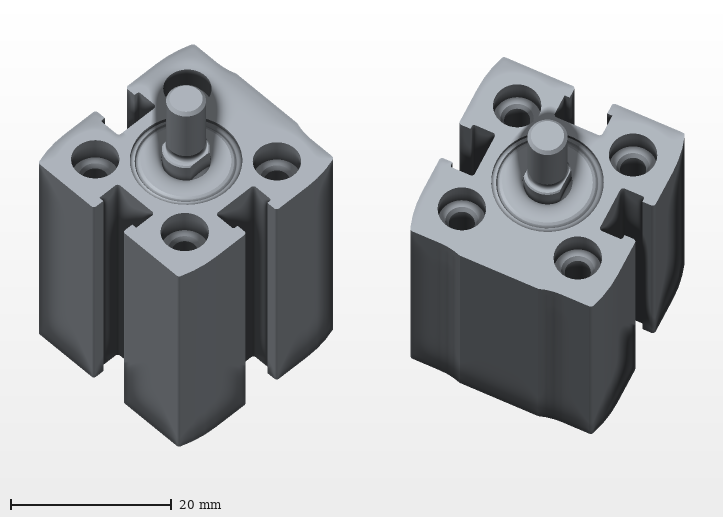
import cadquery as cq
import math

total_height = 47.0
body_height = 34.5
half_width = 13.5
back_crown_y = 14.0

side_flat_half = 8.0
side_arc_radius = 16.0
crown_half = 5.4
crown_foot_x = 8.35
back_corner_radius = 0.5
front_corner_radius = 0.4

slot_mouth_half = 2.6
side_lip_radius = 0.4
front_lip_radius = 0.38
slot_inner_half = 3.3
slot_lip_inside = 11.85
slot_floor = 8.65
slot_floor_radius = 0.4
side_slot_lip_radius = 0.3

hole_spacing = 16.0
hole_diameter = 3.25
countersink_diameter = 4.15
counterbore_diameter = 6.0
counterbore_depth = 3.5

seat_radius = 14.0 / 2
seat_depth = 0.55
ring_inner_radius = 6.4
ring_inner_depth = 0.21
groove_radius = 6.25
groove_depth = 0.45
cap_radius = 12.0 / 2
cap_edge_depth = 0.26
cap_face_radius = 5.65
cap_face_depth = 0.1
cap_face_z = body_height - cap_face_depth

rod_radius = 6.0 / 2
rod_across_flats = 5.0
rod_shoulder_z = 37.0
rod_shoulder_chamfer = 0.2
rod_base_radius = 3.1
rod_base_depth = 4.7
rod_base_z = cap_face_z - rod_base_depth
flat_runout_depth = 0.35
thread_radius = 5.0 / 2
thread_tip_radius = 4.15 / 2
thread_chamfer = thread_radius - thread_tip_radius
thread_start_z = 38.55
neck_radius = 3.9 / 2
neck_low_z = 37.5
neck_high_z = 37.8
neck_cone_radius = 2.05
neck_cone_z = 38.05


def round_corner(body, x, y, radius):
    """Round the vertical edge that stands at (x, y)."""
    corner = cq.selectors.NearestToPointSelector((x, y, body_height / 2))
    return body.edges("|Z").edges(corner).fillet(radius)


def housing_blank():
    """Bar without slots: sides bowed in toward the corners and a crowned back face."""
    bow_center_x = half_width - side_arc_radius
    bow_angle = math.asin((half_width - side_flat_half) / side_arc_radius)
    corner_x = bow_center_x + side_arc_radius * math.cos(bow_angle)
    bow_mid_x = bow_center_x + side_arc_radius * math.cos(bow_angle / 2)
    bow_mid_y = side_flat_half + side_arc_radius * math.sin(bow_angle / 2)
    half = (
        cq.Workplane("XY")
        .moveTo(0, -half_width)
        .lineTo(corner_x, -half_width)
        .threePointArc((bow_mid_x, -bow_mid_y), (half_width, -side_flat_half))
        .lineTo(half_width, side_flat_half)
        .threePointArc((bow_mid_x, bow_mid_y), (corner_x, half_width))
        .lineTo(crown_foot_x, half_width)
        .tangentArcPoint((crown_half, back_crown_y), relative=False)
        .lineTo(0, back_crown_y)
        .close()
        .extrude(body_height)
    )
    half = round_corner(half, corner_x, half_width, back_corner_radius)
    half = round_corner(half, corner_x, -half_width, front_corner_radius)
    return half.union(half.mirror("YZ")).clean()


def t_slot():
    """Two cutters for a slot in the front face: the wide inside and the narrow mouth."""
    inside = (
        cq.Workplane("XY")
        .center(0, -(slot_floor + slot_lip_inside) / 2)
        .rect(2 * slot_inner_half, slot_lip_inside - slot_floor)
        .extrude(body_height)
        .edges("|Z and >Y")
        .fillet(slot_floor_radius)
    )
    mouth = (
        cq.Workplane("XY")
        .center(0, -(slot_lip_inside + half_width) / 2)
        .rect(2 * slot_mouth_half, half_width - slot_lip_inside)
        .extrude(body_height)
    )
    return inside, mouth


def cut_slots(body):
    """Cut the front slot and the two side slots, then round the outer lip edges."""
    inside, mouth = t_slot()
    body = body.cut(inside).cut(mouth)
    for end in (-1, 1):
        body = round_corner(body, end * slot_mouth_half, -half_width, front_lip_radius)

    side_inside = inside.edges("|Z and <Y").fillet(side_slot_lip_radius)
    for side in (-1, 1):
        for cutter in (side_inside, mouth):
            body = body.cut(cutter.rotate((0, 0, 0), (0, 0, 1), side * 90))
        for end in (-1, 1):
            body = round_corner(body, side * half_width, end * slot_mouth_half, side_lip_radius)
    return body


def mounting_hole_cutter():
    """Through hole with a countersunk mouth at the floor of a counterbore."""
    floor_z = body_height - counterbore_depth
    countersink_depth = (countersink_diameter - hole_diameter) / 2
    return (
        cq.Workplane("XZ")
        .lineTo(hole_diameter / 2, 0)
        .lineTo(hole_diameter / 2, floor_z - countersink_depth)
        .lineTo(countersink_diameter / 2, floor_z)
        .lineTo(counterbore_diameter / 2, floor_z)
        .lineTo(counterbore_diameter / 2, body_height)
        .lineTo(0, body_height)
        .close()
        .revolve(360, (0, 0, 0), (0, 1, 0))
    )


def end_cap_groove():
    """Cutter for the end cap face: sloped retaining ring, narrow groove, chamfered cap edge."""
    return (
        cq.Workplane("XZ")
        .moveTo(0, body_height)
        .lineTo(0, cap_face_z)
        .lineTo(cap_face_radius, cap_face_z)
        .lineTo(cap_radius, body_height - cap_edge_depth)
        .lineTo(groove_radius, body_height - groove_depth)
        .lineTo(ring_inner_radius, body_height - ring_inner_depth)
        .lineTo(seat_radius, body_height - seat_depth)
        .lineTo(seat_radius, body_height)
        .close()
        .revolve(360, (0, 0, 0), (0, 1, 0))
    )


def make_rod():
    """Piston rod: flatted shank, undercut neck and threaded end, turned about Z."""
    shank = (
        cq.Workplane("XY", origin=(0, 0, rod_base_z))
        .circle(rod_radius)
        .extrude(rod_shoulder_z - rod_base_z)
        .faces(">Z")
        .edges()
        .chamfer(rod_shoulder_chamfer)
    )
    flat_limits = cq.Workplane("XY").box(rod_across_flats, 2 * rod_radius, 2 * total_height)
    round_base = (
        cq.Workplane("XZ")
        .moveTo(0, rod_base_z)
        .lineTo(rod_base_radius, rod_base_z)
        .lineTo(rod_base_radius, cap_face_z - flat_runout_depth)
        .lineTo(rod_across_flats / 2, cap_face_z)
        .lineTo(0, cap_face_z)
        .close()
        .revolve(360, (0, 0, 0), (0, 1, 0))
    )
    fillet_radius = neck_low_z - rod_shoulder_z
    fillet_mid = fillet_radius * (1 - math.sqrt(0.5))
    threaded_end = (
        cq.Workplane("XZ")
        .moveTo(0, rod_shoulder_z)
        .lineTo(neck_radius + fillet_radius, rod_shoulder_z)
        .threePointArc(
            (neck_radius + fillet_mid, rod_shoulder_z + fillet_mid),
            (neck_radius, neck_low_z),
        )
        .lineTo(neck_radius, neck_high_z)
        .tangentArcPoint((neck_cone_radius, neck_cone_z), relative=False)
        .lineTo(thread_radius, thread_start_z)
        .lineTo(thread_radius, total_height - thread_chamfer)
        .lineTo(thread_tip_radius, total_height)
        .lineTo(0, total_height)
        .close()
        .revolve(360, (0, 0, 0), (0, 1, 0))
    )
    return shank.intersect(flat_limits).union(round_base).union(threaded_end)


def make_housing():
    """Housing with slots, four mounting holes, end cap groove and the socket for the rod."""
    body = cut_slots(housing_blank())
    for x in (-hole_spacing / 2, hole_spacing / 2):
        for y in (-hole_spacing / 2, hole_spacing / 2):
            body = body.cut(mounting_hole_cutter().translate((x, y, 0)))
    body = body.cut(end_cap_groove())
    rod_socket = (
        cq.Workplane("XY", origin=(0, 0, rod_base_z))
        .circle(rod_base_radius)
        .extrude(rod_base_depth)
    )
    return body.cut(rod_socket)


housing = make_housing()
rod = make_rod()
result = cq.Compound.makeCompound([housing.val(), rod.val()])